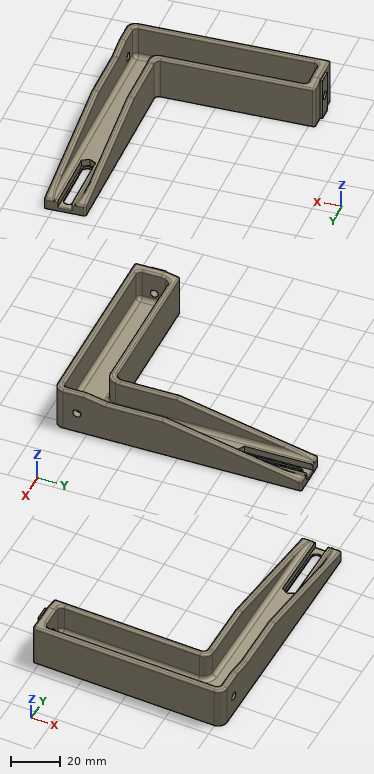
import cadquery as cq
import math

length_x = 86.6
length_y = 109.3
height = 20.0
bar_width = 20.0
arm_width = 18.0

wall = 3.0
end_wall = 4.0
floor = 5.0

edge_radius = 1.0
pocket_radius = 2.0
outer_corner_radius = 4.0
inner_corner_radius = 2.0

shoulder_y = 13.3
step_y = 22.8
step_height = 18.0
taper_start_y = 48.1
tip_height = floor

tab_depth = 1.0
tab_width = 6.3
tab_height = 18.8
hole_diameter = 3.5
hole_height = 9.6

slot_width = 4.6
slot_start_y = 78.4
slot_end_y = 106.1
slot_chamfer = 1.0
chamfer_angle = 45
channel_width = 6.0
channel_floor = 2.0
channel_edge_radius = 0.4
channel_point_y = 77.4
hexagon_slope = 30

arm_left = length_x - arm_width
arm_center = length_x - arm_width / 2
tab_center_y = shoulder_y - tab_width / 2
cut_clearance = 5.5
tolerance = 0.01


def l_prism(left, right, front, bar_back, arm_side, arm_end, bottom, top):
    """L-shaped block with its bar along X and its arm along +Y on the right."""
    outline = [
        (left, front),
        (right, front),
        (right, arm_end),
        (arm_side, arm_end),
        (arm_side, bar_back),
        (left, bar_back),
    ]
    base = cq.Workplane("XY").workplane(offset=bottom)
    return base.polyline(outline).close().extrude(top - bottom)


def vertical_at(x, y):
    """Selector for the vertical edge standing at (x, y)."""
    return cq.selectors.BoxSelector(
        (x - tolerance, y - tolerance, -height), (x + tolerance, y + tolerance, 2 * height)
    )


def top_faces(solid):
    """Level and sloping faces that form the top of the walls."""
    lowest = floor + tolerance
    upward = solid.faces("%PLANE").filter(lambda face: face.normalAt().z > 0.5)
    return upward.filter(lambda face: face.Center().z > lowest)


def crosses_top(edge):
    """True for a crease that runs along X where two slopes of the top meet."""
    crease_places = (shoulder_y, step_y, taper_start_y)
    runs_along_x = edge.geomType() == "LINE" and abs(edge.tangentAt(0).x) > 0.9
    return runs_along_x and any(abs(edge.Center().y - y) < tolerance for y in crease_places)


def make_body():
    """Solid L with its side profile cut on top and its upright outer edges rounded."""
    body = l_prism(0, length_x, 0, bar_width, arm_left, length_y, 0, height)
    profile = [
        (0, 0),
        (length_y, 0),
        (length_y, tip_height),
        (taper_start_y, step_height),
        (step_y, step_height),
        (shoulder_y, height),
        (0, height),
    ]
    body = body.intersect(cq.Workplane("YZ").polyline(profile).close().extrude(length_x))
    body = body.edges(vertical_at(length_x, 0)).fillet(outer_corner_radius)
    body = body.edges(vertical_at(arm_left, bar_width)).fillet(inner_corner_radius)
    for x, y in ((0, 0), (0, bar_width), (arm_left, length_y), (length_x, length_y)):
        body = body.edges(vertical_at(x, y)).fillet(edge_radius)
    return body


def make_pocket():
    """Volume of the open tray, with rounded corners and a rounded floor edge."""
    right = length_x - wall
    bar_back = bar_width - wall
    arm_side = arm_left + wall
    pocket = l_prism(
        end_wall, right, wall, bar_back, arm_side, length_y + cut_clearance, floor, height + cut_clearance
    )
    for x, y in ((end_wall, wall), (end_wall, bar_back), (right, wall)):
        pocket = pocket.edges(vertical_at(x, y)).fillet(pocket_radius)
    pocket = pocket.edges(vertical_at(arm_side, bar_back)).fillet(inner_corner_radius + pocket_radius)
    return pocket.faces("<Z").edges("not(>Y)").fillet(pocket_radius)


def round_rims(tray):
    """Round the top of the walls along their outer and inner edges."""
    rims = top_faces(tray).edges().filter(lambda edge: not crosses_top(edge))
    return rims.fillet(edge_radius)


def make_tab():
    """Locating tab standing out from the end of the bar."""
    overlap = end_wall / 2
    tab = cq.Workplane("XY").box(tab_depth + overlap, tab_width, tab_height, centered=False)
    return tab.translate((-tab_depth, shoulder_y - tab_width, 0))


def make_pin_hole():
    """Hole along X through the tab, the end wall and the far wall of the arm."""
    return (
        cq.Workplane("YZ")
        .workplane(offset=-tab_depth)
        .center(tab_center_y, hole_height)
        .circle(hole_diameter / 2)
        .extrude(tab_depth + length_x)
    )


def make_slot():
    """Round-ended slot through the floor of the arm."""
    return (
        cq.Workplane("XY")
        .center(arm_center, (slot_start_y + slot_end_y) / 2)
        .slot2D(slot_end_y - slot_start_y, slot_width, 90)
        .extrude(height)
    )


def make_slot_chamfer():
    """Chamfer around the slot on the underside of the arm."""
    grow = 2 * slot_chamfer
    outline = (
        cq.Workplane("XY")
        .center(arm_center, (slot_start_y + slot_end_y) / 2)
        .slot2D(slot_end_y - slot_start_y + grow, slot_width + grow, 90)
    )
    return outline.extrude(slot_chamfer, taper=chamfer_angle)


def make_nut_channel():
    """Channel open at the arm tip, ending in a hexagon point that stops a nut."""
    half_width = channel_width / 2
    corner_y = channel_point_y + half_width * math.tan(math.radians(hexagon_slope))
    outline = [
        (arm_center, channel_point_y),
        (arm_center + half_width, corner_y),
        (arm_center + half_width, length_y),
        (arm_center - half_width, length_y),
        (arm_center - half_width, corner_y),
    ]
    base = cq.Workplane("XY").workplane(offset=channel_floor)
    return base.polyline(outline).close().extrude(height)


def round_tip_edge(solid, edge_height, radius):
    """Round the end edges along X that lie at the given height on the arm tip."""
    tip_edges = solid.edges("|X").edges(">Y")
    chosen = tip_edges.filter(lambda edge: abs(edge.Center().z - edge_height) < tolerance)
    return chosen.fillet(radius)


tray = round_rims(make_body().cut(make_pocket()))
tray = tray.cut(make_nut_channel())
tray = round_tip_edge(tray, floor, edge_radius)
tray = round_tip_edge(tray, channel_floor, channel_edge_radius)
tray = tray.union(make_tab()).cut(make_pin_hole())
result = tray.cut(make_slot()).cut(make_slot_chamfer())